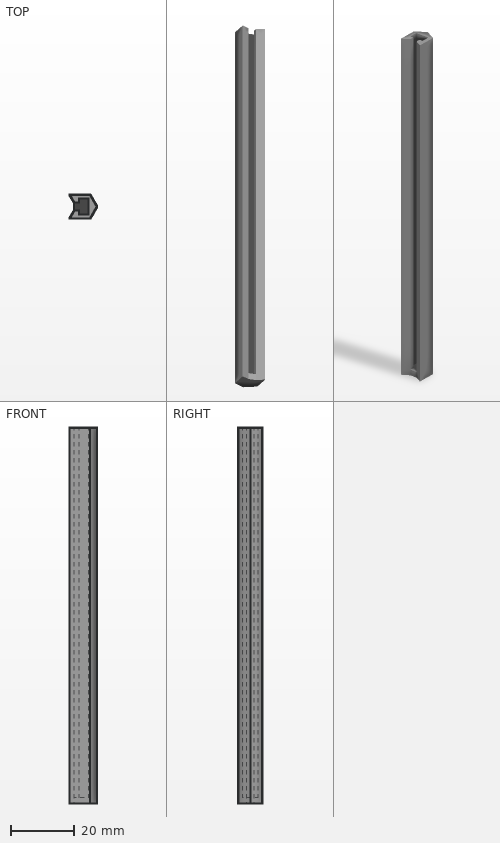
import cadquery as cq
import math

overall_length_x = 8.83
width = 7.66
height = 118.8
point_slope = math.radians(30)

slot_width = 2.5
cavity_width = 5.0
cavity_front_x = 3.0
cavity_back_x = 6.0
floor_thickness = 2.0

half_width = width / 2
point_depth = half_width * math.tan(point_slope)
slot_mouth_x = (half_width - slot_width / 2) * math.tan(point_slope)
shoulder_x = overall_length_x - point_depth


def arrow_body():
    """Full-height bar with a pointed nose at +X and a flat-bottomed V notch at -X."""
    outline = [
        (0, -half_width),
        (shoulder_x, -half_width),
        (overall_length_x, 0),
        (shoulder_x, half_width),
        (0, half_width),
        (slot_mouth_x, slot_width / 2),
        (slot_mouth_x, -slot_width / 2),
    ]
    return cq.Workplane("XY").polyline(outline).close().extrude(height)


def box_between(x_start, x_end, y_size, z_start):
    """Box centred on Y = 0 that reaches from z_start to the top of the bar."""
    return (
        cq.Workplane("XY")
        .box(x_end - x_start, y_size, height - z_start, centered=(False, True, False))
        .translate((x_start, 0, z_start))
    )


def channel():
    """T-shaped channel: open at the top and the notch, closed by the floor."""
    slot = box_between(0, cavity_back_x, slot_width, floor_thickness)
    cavity = box_between(cavity_front_x, cavity_back_x, cavity_width, floor_thickness)
    return slot.union(cavity)


result = arrow_body().cut(channel())